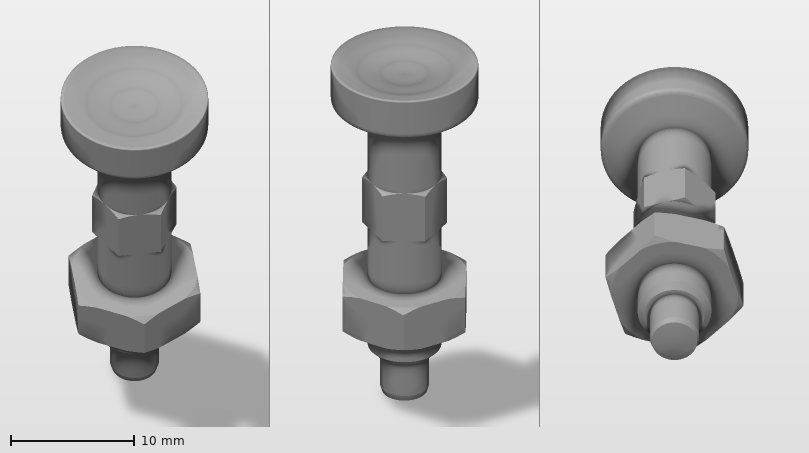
import cadquery as cq
import math

total_length = 31.0
body_bottom = 4.0
nut_bottom = 7.0
nut_height = 4.0
hex_bottom = 16.0
hex_height = 4.5
knob_height = 4.5

pin_diameter = 4.0
pin_taper_start = 0.75
pin_taper_inset = 0.15
pin_dome_height = 0.22

body_diameter = 6.0
body_chamfer = 0.55

hex_across_flats = 6.0
nut_across_flats = 10.0
nut_corner_diameter = 11.5
nut_face_diameter = 10.3
hex_chamfer_angle = 30.0
hex_corner_direction = 90.0
nut_corner_direction = 0.0
hexagon_sides = 6

knob_diameter = 12.0
knob_cone_angle = 19.5
knob_lower_fillet = 0.5
knob_rim_fillet = 0.1
dish_rim_width = 0.25
dish_depth = 1.0

pin_radius = pin_diameter / 2
body_radius = body_diameter / 2
knob_radius = knob_diameter / 2
knob_bottom = total_length - knob_height
hex_top = hex_bottom + hex_height
chamfer_slope = math.tan(math.radians(hex_chamfer_angle))


def sphere_radius(chord_radius, sag):
    """Radius of the sphere whose cap has the given base radius and height."""
    return (chord_radius ** 2 + sag ** 2) / (2 * sag)


def across_corners(across_flats):
    """Corner-to-corner size of a regular hexagon."""
    return across_flats / math.cos(math.pi / hexagon_sides)


def hex_prism(across_flats, bottom, height, corner_direction):
    """Hexagonal prism with one corner pointing in corner_direction."""
    return (
        cq.Workplane("XY")
        .workplane(offset=bottom)
        .polygon(hexagon_sides, across_corners(across_flats))
        .extrude(height)
        .rotate((0, 0, 0), (0, 0, 1), corner_direction)
    )


def make_pin():
    """Plain pin with a slightly tapered end closed by a shallow dome."""
    dome_edge_radius = pin_radius - pin_taper_inset
    dome_radius = sphere_radius(dome_edge_radius, pin_dome_height)
    dome_mid_radius = dome_edge_radius / 2
    dome_mid_z = dome_radius - math.sqrt(dome_radius ** 2 - dome_mid_radius ** 2)
    return (
        cq.Workplane("XZ")
        .moveTo(0, 0)
        .threePointArc((dome_mid_radius, dome_mid_z), (dome_edge_radius, pin_dome_height))
        .lineTo(pin_radius, pin_taper_start)
        .lineTo(pin_radius, nut_bottom)
        .lineTo(0, nut_bottom)
        .close()
        .revolve(360, (0, 0), (0, 1))
    )


def make_body():
    """Cylindrical body from its chamfered lower end up to the knob."""
    body = cq.Workplane("XY").workplane(offset=body_bottom).circle(body_radius)
    return body.extrude(knob_bottom - body_bottom).faces("<Z").chamfer(body_chamfer)


def make_hex():
    """Wrench hexagon whose upper corners are cut by a cone starting at the stem."""
    corner_radius = across_corners(hex_across_flats) / 2
    corner_z = hex_top - (corner_radius - body_radius) * chamfer_slope
    envelope = (
        cq.Workplane("XZ")
        .moveTo(0, hex_bottom)
        .lineTo(corner_radius, hex_bottom)
        .lineTo(corner_radius, corner_z)
        .lineTo(body_radius, hex_top)
        .lineTo(0, hex_top)
        .close()
        .revolve(360, (0, 0), (0, 1))
    )
    return hex_prism(hex_across_flats, hex_bottom, hex_height, hex_corner_direction).intersect(envelope)


def make_nut():
    """Hexagon nut with trimmed corners and conical chamfers on both faces."""
    corner_radius = nut_corner_diameter / 2
    face_radius = nut_face_diameter / 2
    chamfer_height = (corner_radius - face_radius) * chamfer_slope
    nut_top = nut_bottom + nut_height
    envelope = (
        cq.Workplane("XZ")
        .moveTo(0, nut_bottom)
        .lineTo(face_radius, nut_bottom)
        .lineTo(corner_radius, nut_bottom + chamfer_height)
        .lineTo(corner_radius, nut_top - chamfer_height)
        .lineTo(face_radius, nut_top)
        .lineTo(0, nut_top)
        .close()
        .revolve(360, (0, 0), (0, 1))
    )
    return hex_prism(nut_across_flats, nut_bottom, nut_height, nut_corner_direction).intersect(envelope)


def make_knob():
    """Round knob with a conical underside, rounded edges and a spherical dish on top."""
    cone_height = (knob_radius - body_radius) * math.tan(math.radians(knob_cone_angle))
    rim_bottom = knob_bottom + cone_height
    blank = (
        cq.Workplane("XZ")
        .moveTo(0, knob_bottom)
        .lineTo(body_radius, knob_bottom)
        .lineTo(knob_radius, rim_bottom)
        .lineTo(knob_radius, total_length)
        .lineTo(0, total_length)
        .close()
        .revolve(360, (0, 0), (0, 1))
    )
    blank = blank.faces("%CONE").edges(">Z").fillet(knob_lower_fillet)
    blank = blank.faces(">Z").edges().fillet(knob_rim_fillet)
    dish_radius = sphere_radius(knob_radius - dish_rim_width, dish_depth)
    dish_center_z = total_length - dish_depth + dish_radius
    dish = cq.Workplane("XY").sphere(dish_radius).translate((0, 0, dish_center_z))
    return blank.cut(dish)


result = make_pin().union(make_body()).union(make_hex()).union(make_nut()).union(make_knob())